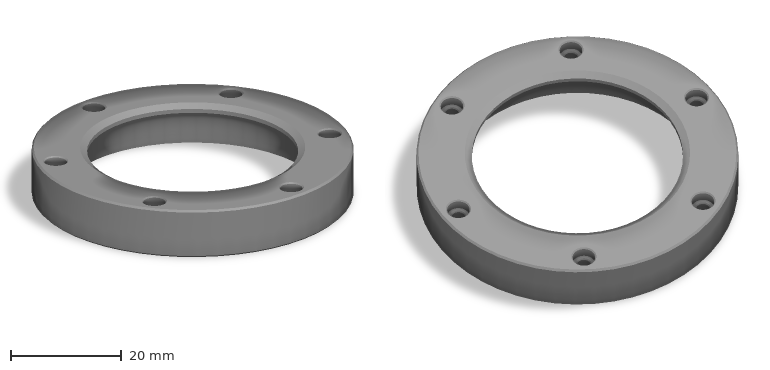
import cadquery as cq

outer_diameter = 58.0
bore_diameter = 38.05
height = 9.2
rim_chamfer = 0.35
bore_chamfer_width = 1.3
bore_chamfer_depth = 0.75
lip_land = 0.75

recess_diameter = 46.75
recess_depth = height - bore_chamfer_depth - lip_land

screw_count = 6
bolt_circle_radius = 25.45
screw_hole_diameter = 2.45
counterbore_diameter = 4.05
counterbore_depth = 2.0
counterbore_chamfer = 0.25
screw_hole_chamfer = 0.205


def revolve_about_z(profile):
    """Solid of revolution from a closed profile of (radius, height) points."""
    return cq.Workplane("XZ").polyline(profile).close().revolve(360, (0, 0), (0, 1))


def ring_body():
    """Ring with chamfered rims, a bore chamfered at the top and a wide recess below."""
    outer_radius = outer_diameter / 2
    bore_radius = bore_diameter / 2
    recess_radius = recess_diameter / 2
    profile = [
        (recess_radius, 0),
        (outer_radius - rim_chamfer, 0),
        (outer_radius, rim_chamfer),
        (outer_radius, height - rim_chamfer),
        (outer_radius - rim_chamfer, height),
        (bore_radius + bore_chamfer_width, height),
        (bore_radius, height - bore_chamfer_depth),
        (bore_radius, recess_depth),
        (recess_radius, recess_depth),
    ]
    return revolve_about_z(profile)


def screw_hole_cutter():
    """Through hole with a counterbore, both chamfered at the mouth, on the Z axis."""
    hole_radius = screw_hole_diameter / 2
    counterbore_radius = counterbore_diameter / 2
    counterbore_floor = height - counterbore_depth
    profile = [
        (0, 0),
        (hole_radius, 0),
        (hole_radius, counterbore_floor - screw_hole_chamfer),
        (hole_radius + screw_hole_chamfer, counterbore_floor),
        (counterbore_radius, counterbore_floor),
        (counterbore_radius, height - counterbore_chamfer),
        (counterbore_radius + counterbore_chamfer, height),
        (0, height),
    ]
    return revolve_about_z(profile)


result = ring_body()
first_hole = screw_hole_cutter().translate((bolt_circle_radius, 0, 0))
for index in range(screw_count):
    angle = index * 360 / screw_count
    result = result.cut(first_hole.rotate((0, 0, 0), (0, 0, 1), angle))